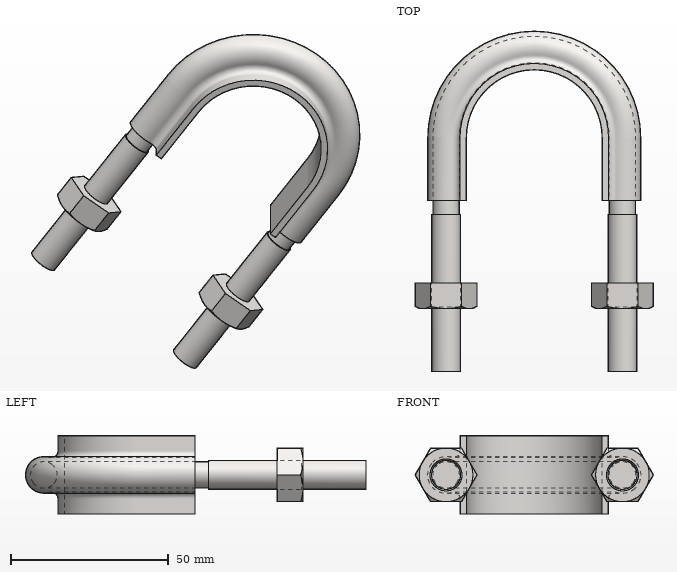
import cadquery as cq
import math

LEG_OFFSET = 28.0
SHANK_DIAMETER = 8.4
THREAD_DIAMETER = 9.2
TOTAL_LENGTH = 108.0

STRIP_HEIGHT = 25.0
STRIP_THICKNESS = 2.0
STRIP_OUTER_RADIUS = 23.5
STRIP_INNER_RADIUS = STRIP_OUTER_RADIUS - STRIP_THICKNESS
BEAD_RADIUS = 5.8
BEAD_FILLET = 2.0
CROWN_Y = LEG_OFFSET + BEAD_RADIUS
LINER_LENGTH = 53.8
LINER_END_Y = CROWN_Y - LINER_LENGTH

BARE_SHANK_LENGTH = 4.3
THREAD_START_Y = LINER_END_Y - BARE_SHANK_LENGTH
BOLT_END_Y = CROWN_Y - TOTAL_LENGTH

NUT_ACROSS_CORNERS = 19.7
NUT_ACROSS_FLATS = NUT_ACROSS_CORNERS * math.cos(math.radians(30))
NUT_THICKNESS = 8.2
NUT_END_GAP = 20.0
NUT_CHAMFER_ANGLE = 30.0
NUT_OUTER_Y = BOLT_END_Y + NUT_END_GAP
COUNTERSINK_DIAMETER = 10.2
COUNTERSINK_DEPTH = (COUNTERSINK_DIAMETER - THREAD_DIAMETER) / 2

SIDES = (-1, 1)


def leg_cylinder(side, diameter, start_y, end_y):
    """Cylinder on one leg's axis, running toward -Y from start_y to end_y."""
    plane = cq.Plane(origin=(side * LEG_OFFSET, start_y, 0), xDir=(1, 0, 0), normal=(0, -1, 0))
    return cq.Workplane(plane).circle(diameter / 2).extrude(start_y - end_y)


def sweep_u(profile):
    """Carry a closed XZ profile, drawn at +X, along both straight legs and around the half bend."""
    section = profile.val()
    leg = cq.Workplane("XZ").add(section).toPending().extrude(-LINER_END_Y)
    bend = cq.Workplane("XZ").add(section).toPending().revolve(180, (0, 0, 0), (0, 1, 0))
    return bend.union(leg).union(leg.mirror("YZ"))


def shank_u():
    """Shank bar along the length that the liner encloses."""
    return sweep_u(cq.Workplane("XZ").moveTo(LEG_OFFSET, 0).circle(SHANK_DIAMETER / 2))


def make_bolt():
    bolt = shank_u()
    for side in SIDES:
        bolt = bolt.union(leg_cylinder(side, SHANK_DIAMETER, LINER_END_Y, THREAD_START_Y))
        bolt = bolt.union(leg_cylinder(side, THREAD_DIAMETER, THREAD_START_Y, BOLT_END_Y))
    return bolt


def liner_profile():
    """Strip section with the round-nosed bead and its two root fillets."""
    top = STRIP_HEIGHT / 2
    fillet_center_x = STRIP_OUTER_RADIUS + BEAD_FILLET
    center_distance = BEAD_RADIUS + BEAD_FILLET
    fillet_center_z = math.sqrt(center_distance**2 - (LEG_OFFSET - fillet_center_x) ** 2)
    bead_share = BEAD_RADIUS / center_distance
    tangent_x = LEG_OFFSET + (fillet_center_x - LEG_OFFSET) * bead_share
    tangent_z = fillet_center_z * bead_share
    return (
        cq.Workplane("XZ")
        .moveTo(STRIP_INNER_RADIUS, -top)
        .lineTo(STRIP_OUTER_RADIUS, -top)
        .lineTo(STRIP_OUTER_RADIUS, -fillet_center_z)
        .radiusArc((tangent_x, -tangent_z), BEAD_FILLET)
        .threePointArc((LEG_OFFSET + BEAD_RADIUS, 0), (tangent_x, tangent_z))
        .radiusArc((STRIP_OUTER_RADIUS, fillet_center_z), BEAD_FILLET)
        .lineTo(STRIP_OUTER_RADIUS, top)
        .lineTo(STRIP_INNER_RADIUS, top)
        .close()
    )


def make_liner():
    return sweep_u(liner_profile()).cut(shank_u())


def make_nut(side):
    """Hexagon nut with its corners bevelled and its hole countersunk on the outer (-Y) face."""
    plane = cq.Plane(origin=(side * LEG_OFFSET, NUT_OUTER_Y, 0), xDir=(1, 0, 0), normal=(0, 1, 0))
    nut = cq.Workplane(plane).polygon(6, NUT_ACROSS_CORNERS).extrude(NUT_THICKNESS)
    cone_height = NUT_THICKNESS
    cone_growth = cone_height / math.tan(math.radians(NUT_CHAMFER_ANGLE))
    cone = cq.Solid.makeCone(
        NUT_ACROSS_FLATS / 2, NUT_ACROSS_FLATS / 2 + cone_growth, cone_height, plane.origin, plane.zDir
    )
    countersink = cq.Solid.makeCone(
        COUNTERSINK_DIAMETER / 2, THREAD_DIAMETER / 2, COUNTERSINK_DEPTH, plane.origin, plane.zDir
    )
    hole = leg_cylinder(side, THREAD_DIAMETER, NUT_OUTER_Y + NUT_THICKNESS, NUT_OUTER_Y)
    return nut.intersect(cq.Workplane(cone)).cut(hole).cut(cq.Workplane(countersink))


bolt = make_bolt()
liner = make_liner()
nuts = [make_nut(side) for side in SIDES]

result = cq.Compound.makeCompound([bolt.val(), liner.val(), *[nut.val() for nut in nuts]])